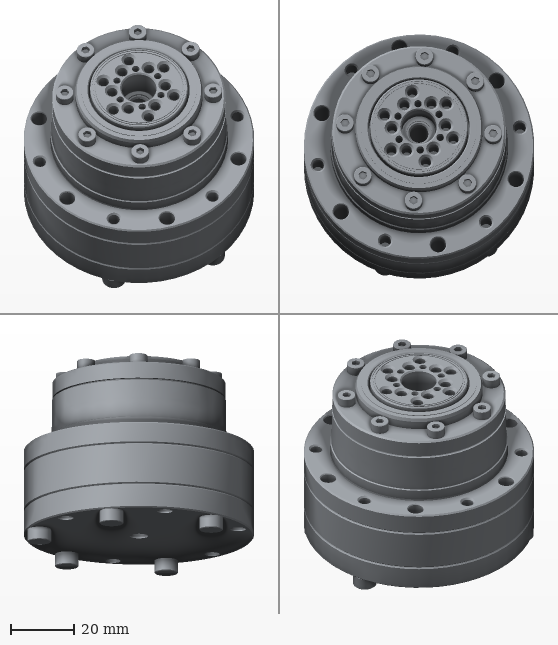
import cadquery as cq
import math

outer_r = 36.5
total_height = 59.0

base_z = 4.0
lower_seam_z = 11.9
upper_seam_z = 25.1
flange_top_z = 32.05
collar_top_z = 35.85
waist_bottom_z = 36.05
waist_top_z = 48.0
cap_bottom_z = 48.7
cap_top_z = 54.1
cap_ring_top_z = 57.8
cover_top_z = 58.0
edge_chamfer = 0.45

collar_r = 28.1
collar_flare_width = 0.15
collar_flare_height = 0.45
waist_bottom_r = 27.75
waist_top_r = 27.6
cap_groove_r = 26.6
cap_r = 27.45
cap_chamfer_width = 0.6
cap_chamfer_height = 0.45
cap_ring_r = 20.15
cap_ring_chamfer_width = 0.45
cap_ring_chamfer_height = 1.0
cover_r = 18.25

well_r = 16.05
well_rim_chamfer = 0.3
well_floor_z = 48.3
pad_r = 11.6
pad_height = 0.45
spigot_r = 5.55
spigot_height = 1.45
spigot_chamfer = 0.45
spigot_recess_r = 3.95
spigot_recess_depth = 0.45
shaft_bore_r = 2.9
shaft_bore_chamfer = 0.5
pad_top_z = well_floor_z + pad_height
spigot_top_z = pad_top_z + spigot_height

bolt_circle_r = 32.55
bolt_count = 6
through_hole_d = 4.9
through_hole_mouth_d = 5.5
blind_hole_d = 3.65
blind_hole_mouth_d = 4.7
blind_hole_depth = 10.2
empty_lower_place = 4
lower_head_d = 7.5
lower_head_chamfer = 0.2
cap_screw_count = 8
cap_screw_circle_r = 23.5
cap_head_d = 5.6
cap_head_height = 3.0
cap_head_chamfer = 0.15
socket_corner_d = 2.85
socket_depth = 1.45

output_r = 15.5
output_chamfer = 0.3
face_grooves = [(13.8, 14.1), (14.5, 14.9)]
face_groove_depth = 0.3
output_bore_chamfer = 0.45
tapped_hole_d = 3.3
tapped_hole_mouth_d = 4.75
outer_tapped_circle_r = 11.5
outer_tapped_angle = 30.0
inner_tapped_circle_r = 8.55
inner_tapped_angle = -8.0
dowel_hole_d = 2.3
dowel_circle_r = 7.5
dowel_angle = 22.0
output_hole_count = 6


def polar_points(count, radius, start_angle):
    """Evenly spaced (x, y) places on a circle about the Z axis."""
    angles = [math.radians(start_angle + 360.0 * i / count) for i in range(count)]
    return [(radius * math.cos(a), radius * math.sin(a)) for a in angles]


def hole_cutters(points, top_z, bottom_z, diameter, mouth_diameter):
    """Round cutters with a 45 degree conical mouth at top_z."""
    radius = diameter / 2
    mouth_radius = mouth_diameter / 2
    cutter = (
        cq.Workplane("XZ")
        .moveTo(0, bottom_z)
        .lineTo(radius, bottom_z)
        .lineTo(radius, top_z - (mouth_radius - radius))
        .lineTo(mouth_radius, top_z)
        .lineTo(0, top_z)
        .close()
        .revolve(360, (0, 0), (0, 1))
    )
    return cq.Workplane().pushPoints(points).eachpoint(lambda place: cutter.val().moved(place))


def housing_turned():
    """Turned shape of the housing: three flanges, waist, cap, and the well."""
    rim_r = outer_r - edge_chamfer
    outline = (
        cq.Workplane("XZ")
        .moveTo(shaft_bore_r, base_z)
        .lineTo(rim_r, base_z)
        .lineTo(outer_r, base_z + edge_chamfer)
        .lineTo(outer_r, lower_seam_z - edge_chamfer)
        .lineTo(rim_r, lower_seam_z)
        .lineTo(outer_r, lower_seam_z + edge_chamfer)
        .lineTo(outer_r, upper_seam_z - edge_chamfer)
        .lineTo(rim_r, upper_seam_z)
        .lineTo(outer_r, upper_seam_z + edge_chamfer)
        .lineTo(outer_r, flange_top_z - edge_chamfer)
        .lineTo(rim_r, flange_top_z)
        .lineTo(collar_r + collar_flare_width, flange_top_z)
        .lineTo(collar_r, flange_top_z + collar_flare_height)
        .lineTo(collar_r, collar_top_z)
        .lineTo(waist_bottom_r, waist_bottom_z)
        .lineTo(waist_top_r, waist_top_z)
        .lineTo(cap_groove_r, waist_top_z)
        .lineTo(cap_groove_r, cap_bottom_z)
        .lineTo(cap_r, cap_bottom_z)
        .lineTo(cap_r, cap_top_z - cap_chamfer_height)
        .lineTo(cap_r - cap_chamfer_width, cap_top_z)
        .lineTo(cap_ring_r, cap_top_z)
        .lineTo(cap_ring_r, cap_ring_top_z - cap_ring_chamfer_height)
        .lineTo(cap_ring_r - cap_ring_chamfer_width, cap_ring_top_z)
        .lineTo(cover_r, cap_ring_top_z)
        .lineTo(cover_r, cover_top_z)
        .lineTo(well_r + well_rim_chamfer, cover_top_z)
        .lineTo(well_r, cover_top_z - well_rim_chamfer)
        .lineTo(well_r, well_floor_z)
        .lineTo(pad_r, well_floor_z)
        .lineTo(pad_r, pad_top_z)
        .lineTo(spigot_r, pad_top_z)
        .lineTo(spigot_r, spigot_top_z - spigot_chamfer)
        .lineTo(spigot_r - spigot_chamfer, spigot_top_z)
        .lineTo(spigot_recess_r, spigot_top_z)
        .lineTo(spigot_recess_r, spigot_top_z - spigot_recess_depth)
        .lineTo(shaft_bore_r + shaft_bore_chamfer, spigot_top_z - spigot_recess_depth)
        .lineTo(shaft_bore_r, spigot_top_z - spigot_recess_depth - shaft_bore_chamfer)
        .close()
    )
    return outline.revolve(360, (0, 0), (0, 1))


def lower_screw_heads():
    """Screw heads below the bottom flange, under all the blind holes but one."""
    places = polar_points(bolt_count, bolt_circle_r, 0)
    places.pop(empty_lower_place)
    return (
        cq.Workplane()
        .pushPoints(places)
        .circle(lower_head_d / 2)
        .extrude(base_z)
        .faces("<Z")
        .chamfer(lower_head_chamfer)
    )


def cap_screw_heads():
    """Socket screw heads standing on the cap."""
    heads = (
        cq.Workplane(origin=(0, 0, cap_top_z))
        .polarArray(cap_screw_circle_r, 0, 360, cap_screw_count)
        .circle(cap_head_d / 2)
        .extrude(cap_head_height)
        .faces(">Z")
        .chamfer(cap_head_chamfer)
    )
    sockets = (
        cq.Workplane(origin=(0, 0, cap_top_z + cap_head_height))
        .polarArray(cap_screw_circle_r, 0, 360, cap_screw_count)
        .polygon(6, socket_corner_d)
        .extrude(-socket_depth)
    )
    return heads.cut(sockets)


def make_housing():
    through_holes = hole_cutters(
        polar_points(bolt_count, bolt_circle_r, 180 / bolt_count),
        flange_top_z, base_z, through_hole_d, through_hole_mouth_d,
    )
    blind_holes = hole_cutters(
        polar_points(bolt_count, bolt_circle_r, 0),
        flange_top_z, flange_top_z - blind_hole_depth, blind_hole_d, blind_hole_mouth_d,
    )
    body = housing_turned().cut(through_holes).cut(blind_holes)
    return body.union(lower_screw_heads()).union(cap_screw_heads())


def output_turned():
    """Turned shape of the output flange, seated on the well floor and the pad, around the spigot."""
    outline = (
        cq.Workplane("XZ")
        .moveTo(spigot_r, pad_top_z)
        .lineTo(pad_r, pad_top_z)
        .lineTo(pad_r, well_floor_z)
        .lineTo(output_r, well_floor_z)
        .lineTo(output_r, total_height - output_chamfer)
        .lineTo(output_r - output_chamfer, total_height)
        .lineTo(spigot_r + output_bore_chamfer, total_height)
        .lineTo(spigot_r, total_height - output_bore_chamfer)
        .close()
    )
    return outline.revolve(360, (0, 0), (0, 1))


def ring_groove(groove_inner_r, groove_outer_r):
    """Square ring groove in the top face of the output flange."""
    return (
        cq.Workplane(origin=(0, 0, total_height))
        .circle(groove_outer_r)
        .circle(groove_inner_r)
        .extrude(-face_groove_depth)
    )


def make_output_flange():
    tapped_rings = [
        (outer_tapped_circle_r, outer_tapped_angle),
        (inner_tapped_circle_r, inner_tapped_angle),
    ]
    body = output_turned()
    for groove_inner_r, groove_outer_r in face_grooves:
        body = body.cut(ring_groove(groove_inner_r, groove_outer_r))
    for circle_r, angle in tapped_rings:
        places = polar_points(output_hole_count, circle_r, angle)
        tapped_holes = hole_cutters(
            places, total_height, well_floor_z, tapped_hole_d, tapped_hole_mouth_d
        )
        body = body.cut(tapped_holes)
    dowel_holes = (
        cq.Workplane(origin=(0, 0, total_height))
        .pushPoints(polar_points(output_hole_count, dowel_circle_r, dowel_angle))
        .circle(dowel_hole_d / 2)
        .extrude(well_floor_z - total_height)
    )
    return body.cut(dowel_holes)


housing = make_housing()
output_flange = make_output_flange()
result = cq.Compound.makeCompound([housing.solids().val(), output_flange.solids().val()])